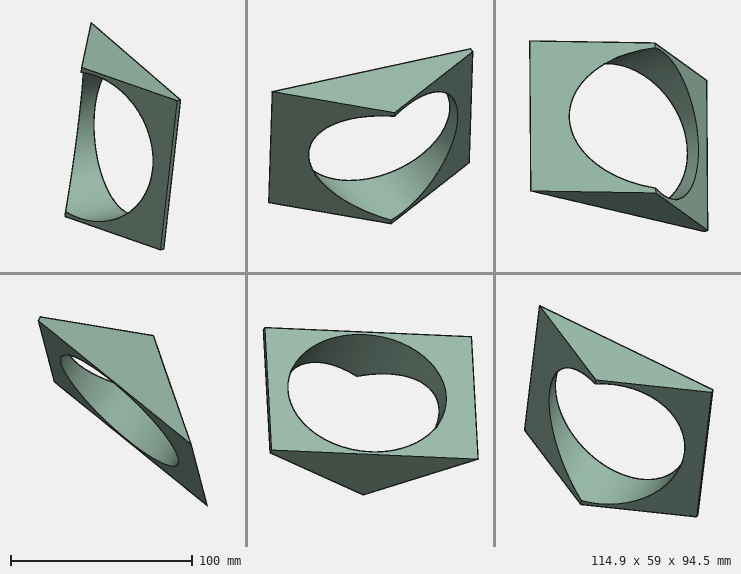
import cadquery as cq
import math

leg = 69.2
turn = 60.0
height = 89.0
hole_diameter = 85.0
hole_turn = 45.0
trim_distance = 111.0
swing = -50.0
tilt = -6.0


def heading(angle):
    """Unit vector in the section plane at an angle from the first leg."""
    return cq.Vector(math.cos(math.radians(angle)), math.sin(math.radians(angle)), 0)


bend = heading(0) * leg
sharp_tip = bend + heading(turn) * leg
across = heading(hole_turn)


def trim_point(start):
    """Point where the edge from start to the sharp tip meets the trimmed face."""
    edge = sharp_tip - start
    fraction = (trim_distance - start.dot(across)) / edge.dot(across)
    return start + edge * fraction


def make_prism():
    corners = [cq.Vector(0, 0, 0), bend, trim_point(bend), trim_point(cq.Vector(0, 0, 0))]
    return cq.Workplane("XY").polyline([(p.x, p.y) for p in corners]).close().extrude(height)


def make_hole():
    center = sharp_tip * 0.5 + cq.Vector(0, 0, height / 2)
    plane = cq.Plane(origin=center, xDir=across, normal=heading(hole_turn - 90))
    return cq.Workplane(plane).circle(hole_diameter / 2).extrude(leg, both=True)


part = make_prism().cut(make_hole())
result = part.rotate((0, 0, 0), (1, 0, 0), tilt).rotate((0, 0, 0), (0, 0, 1), swing)